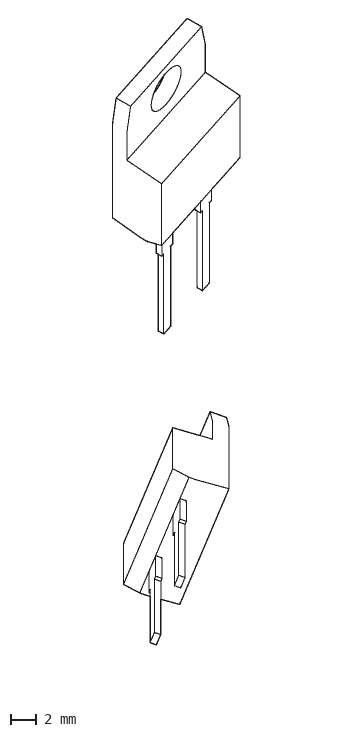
import cadquery as cq

total_height = 29.52
body_depth = 4.7
body_width = 10.55

tab_thickness = 1.4
tab_top_width = 9.53
tab_taper_drop = 2.85
hole_diameter = 4.0
hole_drop = 2.83

shoulder_back_drop = 6.38
shoulder_front_drop = 6.88
body_side_drop = 14.8
body_bottom_drop = 15.32

lead_thickness = 0.53
lead_center_x = 3.07
lead_pitch = 5.2
wide_lead_width = 1.48
narrow_lead_width = 0.95
wide_lead_drop = 19.28

half_width = body_width / 2
body_bottom_z = total_height - body_bottom_drop
body_side_z = total_height - body_side_drop
wide_lead_bottom_z = total_height - wide_lead_drop
lead_embed = 0.6


def make_body():
    """Stepped side profile extruded across the full width."""
    profile = [
        (0, body_side_z),
        (lead_center_x - lead_thickness / 2, body_bottom_z),
        (lead_center_x + lead_thickness / 2, body_bottom_z),
        (body_depth, body_side_z),
        (body_depth, total_height - shoulder_front_drop),
        (tab_thickness, total_height - shoulder_back_drop),
        (tab_thickness, total_height),
        (0, total_height),
    ]
    return cq.Workplane("XZ").polyline(profile).close().extrude(half_width, both=True)


def make_face_outline():
    """Prism of the tapered face outline, used to trim the body."""
    half_top = tab_top_width / 2
    taper_z = total_height - tab_taper_drop
    outline = [
        (-half_width, 0),
        (half_width, 0),
        (half_width, taper_z),
        (half_top, total_height),
        (-half_top, total_height),
        (-half_width, taper_z),
    ]
    return cq.Workplane("YZ").polyline(outline).close().extrude(body_depth)


def make_hole():
    """Mounting hole through the tab."""
    return (
        cq.Workplane("YZ")
        .center(0, total_height - hole_drop)
        .circle(hole_diameter / 2)
        .extrude(tab_thickness)
    )


def make_lead(center_y):
    """Flat lead with a wide upper part and a narrow lower part."""
    upper_top_z = body_bottom_z + lead_embed
    base = cq.Workplane("XY").center(lead_center_x, center_y)
    narrow = base.rect(lead_thickness, narrow_lead_width).extrude(upper_top_z)
    wide = (
        base.workplane(offset=wide_lead_bottom_z)
        .rect(lead_thickness, wide_lead_width)
        .extrude(upper_top_z - wide_lead_bottom_z)
    )
    return narrow.union(wide)


result = make_body().intersect(make_face_outline()).cut(make_hole())
for side in (-1, 1):
    result = result.union(make_lead(side * lead_pitch / 2))